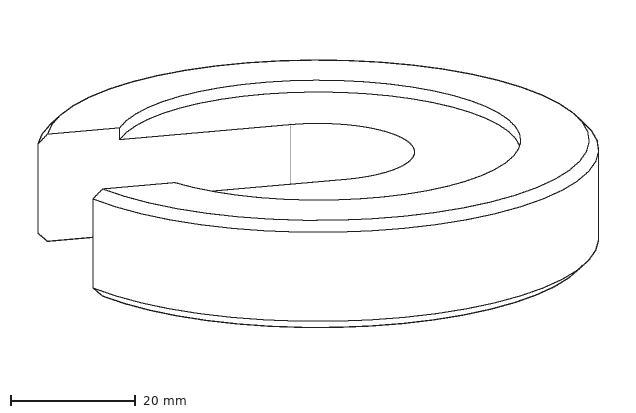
import cadquery as cq

outer_diameter = 90.0
thickness = 18.0
edge_chamfer = 1.5
recess_diameter = 65.0
recess_depth = 2.0
slot_width = 31.0

outer_radius = outer_diameter / 2


def make_disc():
    """Disc standing on Z = 0 with both rims chamfered."""
    disc = cq.Workplane("XY").circle(outer_radius).extrude(thickness)
    return disc.faces("<Z or >Z").edges().chamfer(edge_chamfer)


def make_recess():
    """Shallow round seat in the top face."""
    floor_height = thickness - recess_depth
    seat = cq.Workplane("XY").workplane(offset=floor_height)
    return seat.circle(recess_diameter / 2).extrude(recess_depth)


def make_slot():
    """Through slot, rounded about the disc axis and open towards -Y."""
    round_end = cq.Workplane("XY").circle(slot_width / 2).extrude(thickness)
    channel = cq.Workplane("XY").box(
        slot_width, outer_radius, thickness, centered=(True, False, False)
    )
    return round_end.union(channel.translate((0, -outer_radius, 0)))


result = make_disc().cut(make_recess()).cut(make_slot())